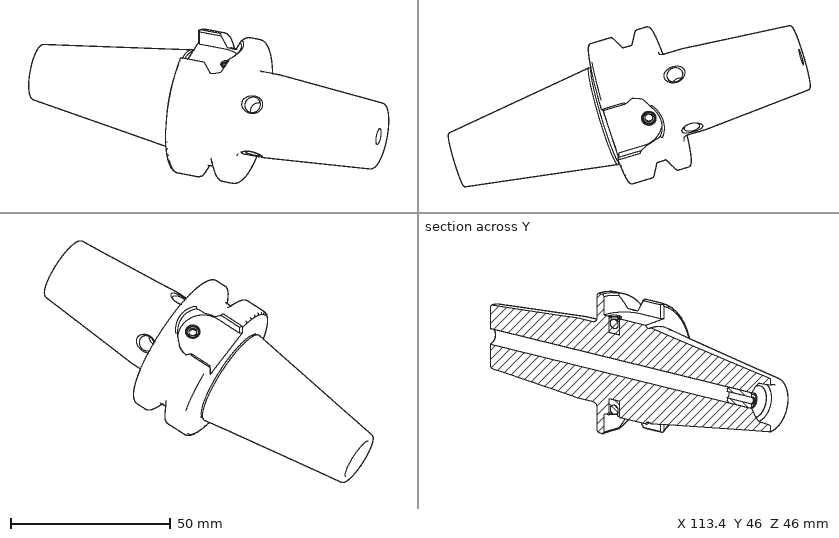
import cadquery as cq
import math


GAUGE_DIAMETER = 31.75
TAPER_RATIO = 7 / 24
SHANK_LENGTH = 48.4
SHANK_END_FILLET = 0.6
RELIEF_DIAMETER = 31.15
RELIEF_START = 0.7
RELIEF_FILLET = 0.6

FLANGE_DIAMETER = 46.0
FLANGE_START = 2.0
FLANGE_END = 22.0
FLANGE_FRONT_FILLET = 1.0
FLANGE_REAR_FILLET = 0.8
GROOVE_CENTER = 13.5
GROOVE_FLOOR_DIAMETER = 37.6
GROOVE_FLOOR_WIDTH = 3.2
GROOVE_HALF_ANGLE = 30.0
GROOVE_EDGE_FILLET = 0.6
GROOVE_FLOOR_FILLET = 0.5

NECK_DIAMETER = 26.5
NECK_FILLET = 1.5
NOSE_TAPER_START = 29.9
NOSE_LENGTH = 65.0
NOSE_DIAMETER = 21.0
NOSE_FILLET = 1.0

PILOT_MOUTH_DIAMETER = 13.1
PILOT_END_DIAMETER = 12.5
PILOT_MOUTH_FILLET = 0.5
PILOT_DEPTH = 4.9
INNER_BORE_DIAMETER = 10.3
INNER_BORE_DEPTH = 6.1
DRILL_POINT_ANGLE = 118.0
STOP_BORE_DIAMETER = 5.0
STOP_SCREW_LENGTH = 10.0
STOP_SCREW_CHAMFER = 0.5
STOP_HOLE_DIAMETER = 2.0
STOP_HOLE_MOUTH_DIAMETER = 2.5

KEYWAY_WIDTH = 16.1
KEYWAY_FLOOR = 16.3
KEYWAY_END = 18.95
KEYWAY_CHAMFER = 0.7
KEYWAY_ANGLES = [0, 180]

HOLDER_X = 14.95
HOLDER_DIAMETER = 4.0
HOLDER_LENGTH = 5.0
HOLDER_HOLE_CHAMFER = 0.3
HOLDER_CHAMFER = 0.25
HOLDER_OPENING_DIAMETER = 2.5
BALL_DIAMETER = 3.0
BALL_RECESS = 0.3

BALANCE_HOLE_COUNT = 4
BALANCE_FIRST_ANGLE = 45
BALANCE_HOLE_X = 26.3
BALANCE_HOLE_DIAMETER = 5.0
BALANCE_HOLE_MOUTH_DIAMETER = 6.8
BALANCE_HOLE_DEPTH = 8.0
COUNTERSINK_ANGLE = 120.0

TOLERANCE = 0.01


def revolve_about_x(outline):
    return outline.close().revolve(360, (0, 0, 0), (1, 0, 0))


def around_axis(shape, angles):
    """Copies of a +Z shape turned about the spindle axis."""
    return [shape.rotate((0, 0, 0), (1, 0, 0), angle) for angle in angles]


def fillet_circle(body, x, radius, size):
    """Fillet the circular edge of the given radius that lies in the plane at x."""

    def is_wanted(edge):
        box = edge.BoundingBox()
        in_plane = abs(box.xmin - x) < TOLERANCE and abs(box.xmax - x) < TOLERANCE
        return in_plane and abs(box.ymax - radius) < TOLERANCE

    circles = [edge for edge in body.edges().vals() if is_wanted(edge)]
    return body.newObject([body.val().fillet(size, circles)])


def body_blank():
    shank_end_radius = (GAUGE_DIAMETER - SHANK_LENGTH * TAPER_RATIO) / 2
    groove_depth = (FLANGE_DIAMETER - GROOVE_FLOOR_DIAMETER) / 2
    groove_floor_half = GROOVE_FLOOR_WIDTH / 2
    groove_mouth_half = groove_floor_half + groove_depth * math.tan(math.radians(GROOVE_HALF_ANGLE))
    outline = (
        cq.Workplane("XY")
        .moveTo(-SHANK_LENGTH, 0)
        .lineTo(-SHANK_LENGTH, shank_end_radius)
        .lineTo(0, GAUGE_DIAMETER / 2)
        .lineTo(RELIEF_START, RELIEF_DIAMETER / 2)
        .lineTo(FLANGE_START, RELIEF_DIAMETER / 2)
        .lineTo(FLANGE_START, FLANGE_DIAMETER / 2)
        .lineTo(GROOVE_CENTER - groove_mouth_half, FLANGE_DIAMETER / 2)
        .lineTo(GROOVE_CENTER - groove_floor_half, GROOVE_FLOOR_DIAMETER / 2)
        .lineTo(GROOVE_CENTER + groove_floor_half, GROOVE_FLOOR_DIAMETER / 2)
        .lineTo(GROOVE_CENTER + groove_mouth_half, FLANGE_DIAMETER / 2)
        .lineTo(FLANGE_END, FLANGE_DIAMETER / 2)
        .lineTo(FLANGE_END, NECK_DIAMETER / 2)
        .lineTo(NOSE_TAPER_START, NECK_DIAMETER / 2)
        .lineTo(NOSE_LENGTH, NOSE_DIAMETER / 2)
        .lineTo(NOSE_LENGTH, 0)
    )
    blank = revolve_about_x(outline)

    flange_radius = FLANGE_DIAMETER / 2
    blank = fillet_circle(blank, -SHANK_LENGTH, shank_end_radius, SHANK_END_FILLET)
    blank = fillet_circle(blank, FLANGE_START, RELIEF_DIAMETER / 2, RELIEF_FILLET)
    blank = fillet_circle(blank, FLANGE_START, flange_radius, FLANGE_REAR_FILLET)
    blank = fillet_circle(blank, GROOVE_CENTER - groove_mouth_half, flange_radius, GROOVE_EDGE_FILLET)
    blank = fillet_circle(blank, GROOVE_CENTER + groove_mouth_half, flange_radius, GROOVE_EDGE_FILLET)
    blank = fillet_circle(blank, FLANGE_END, flange_radius, FLANGE_FRONT_FILLET)
    blank = fillet_circle(blank, FLANGE_END, NECK_DIAMETER / 2, NECK_FILLET)
    for side in (-1, 1):
        floor_edge = GROOVE_CENTER + side * groove_floor_half
        blank = fillet_circle(blank, floor_edge, GROOVE_FLOOR_DIAMETER / 2, GROOVE_FLOOR_FILLET)
    return fillet_circle(blank, NOSE_LENGTH, NOSE_DIAMETER / 2, NOSE_FILLET)


INNER_BORE_END = -SHANK_LENGTH + INNER_BORE_DEPTH
DRILL_POINT_LENGTH = (INNER_BORE_DIAMETER - STOP_BORE_DIAMETER) / 2 / math.tan(
    math.radians(DRILL_POINT_ANGLE / 2)
)
STOP_SCREW_START = INNER_BORE_END + DRILL_POINT_LENGTH


def axial_bores():
    mouth_radius = PILOT_MOUTH_DIAMETER / 2
    pilot_end = -SHANK_LENGTH + PILOT_DEPTH
    step = (PILOT_END_DIAMETER - INNER_BORE_DIAMETER) / 2
    outline = (
        cq.Workplane("XY")
        .moveTo(-SHANK_LENGTH, 0)
        .lineTo(-SHANK_LENGTH, mouth_radius + PILOT_MOUTH_FILLET)
        .radiusArc((-SHANK_LENGTH + PILOT_MOUTH_FILLET, mouth_radius), -PILOT_MOUTH_FILLET)
        .lineTo(pilot_end, PILOT_END_DIAMETER / 2)
        .lineTo(pilot_end + step, INNER_BORE_DIAMETER / 2)
        .lineTo(INNER_BORE_END, INNER_BORE_DIAMETER / 2)
        .lineTo(STOP_SCREW_START, STOP_BORE_DIAMETER / 2)
        .lineTo(NOSE_LENGTH, STOP_BORE_DIAMETER / 2)
        .lineTo(NOSE_LENGTH, 0)
    )
    return revolve_about_x(outline)


def keyways():
    """Both keyways, open at the flange rear face, round at the front end and with chamfered rims."""
    half_width = KEYWAY_WIDTH / 2
    rim_radius = FLANGE_DIAMETER / 2
    slot = (
        cq.Workplane("XY", origin=(0, 0, KEYWAY_FLOOR))
        .moveTo(FLANGE_START, -half_width)
        .lineTo(KEYWAY_END - half_width, -half_width)
        .threePointArc((KEYWAY_END, 0), (KEYWAY_END - half_width, half_width))
        .lineTo(FLANGE_START, half_width)
        .close()
        .extrude(rim_radius - KEYWAY_FLOOR)
    )
    disc = (
        cq.Workplane("YZ", origin=(FLANGE_START, 0, 0))
        .circle(rim_radius)
        .extrude(FLANGE_END - FLANGE_START)
    )
    slotted = disc
    for turned in around_axis(slot, KEYWAY_ANGLES):
        slotted = slotted.cut(turned)

    def is_keyway_rim(edge):
        middle = edge.positionAt(0.5)
        within_slot = abs(middle.y) < half_width + TOLERANCE and FLANGE_START < middle.x < FLANGE_END
        on_disc = abs(math.hypot(middle.y, middle.z) - rim_radius) < TOLERANCE
        on_rear_face = edge.BoundingBox().xmax < FLANGE_START + TOLERANCE
        at_side = abs(abs(middle.y) - half_width) < TOLERANCE and not on_disc
        return (within_slot and on_disc) or (on_rear_face and at_side)

    rims = [edge for edge in slotted.edges().vals() if is_keyway_rim(edge)]
    chamfered = slotted.newObject([slotted.val().chamfer(KEYWAY_CHAMFER, None, rims)])
    return disc.cut(chamfered)


def holder_hole():
    """Blind hole in the +Z keyway floor, with a chamfered mouth."""
    radius = HOLDER_DIAMETER / 2
    floor = -HOLDER_HOLE_CHAMFER - HOLDER_LENGTH
    outline = (
        cq.Workplane("XZ", origin=(HOLDER_X, 0, KEYWAY_FLOOR))
        .lineTo(radius + HOLDER_HOLE_CHAMFER, 0)
        .lineTo(radius, -HOLDER_HOLE_CHAMFER)
        .lineTo(radius, floor)
        .lineTo(0, floor)
        .close()
    )
    return outline.revolve(360, (0, 0, 0), (0, 1, 0))


HOLDER_TOP = KEYWAY_FLOOR - HOLDER_HOLE_CHAMFER
BALL_CENTER = HOLDER_TOP - BALL_RECESS - BALL_DIAMETER / 2


def ball():
    """Ball that shows through the opening of its holder."""
    return cq.Workplane("XY", origin=(HOLDER_X, 0, BALL_CENTER)).sphere(BALL_DIAMETER / 2, direct=(0, 1, 0))


def ball_holder():
    """Round plug up to the hole chamfer, hollowed for the ball and open at its top."""
    plug = (
        cq.Workplane("XY", origin=(HOLDER_X, 0, HOLDER_TOP))
        .circle(HOLDER_DIAMETER / 2)
        .extrude(-HOLDER_LENGTH)
        .faces(">Z")
        .chamfer(HOLDER_CHAMFER)
    )
    opening = (
        cq.Workplane("XY", origin=(HOLDER_X, 0, BALL_CENTER))
        .circle(HOLDER_OPENING_DIAMETER / 2)
        .extrude(HOLDER_TOP - BALL_CENTER)
    )
    return plug.cut(opening).cut(ball())


def balance_hole():
    """Radial blind hole towards +Z, countersunk at the neck surface."""
    neck_radius = NECK_DIAMETER / 2
    radius = BALANCE_HOLE_DIAMETER / 2
    mouth_radius = BALANCE_HOLE_MOUTH_DIAMETER / 2
    depth = (mouth_radius - radius) / math.tan(math.radians(COUNTERSINK_ANGLE / 2))
    floor = neck_radius - BALANCE_HOLE_DEPTH
    outline = (
        cq.Workplane("XZ", origin=(BALANCE_HOLE_X, 0, 0))
        .moveTo(0, floor)
        .lineTo(radius, floor)
        .lineTo(radius, neck_radius - depth)
        .lineTo(mouth_radius, neck_radius)
        .lineTo(mouth_radius, neck_radius + NECK_FILLET)
        .lineTo(0, neck_radius + NECK_FILLET)
        .close()
    )
    return outline.revolve(360, (0, 0, 0), (0, 1, 0))


def stop_screw():
    """Screw with an axial through hole, at the rear end of the narrow bore."""
    screw = (
        cq.Workplane("YZ", origin=(STOP_SCREW_START, 0, 0))
        .circle(STOP_BORE_DIAMETER / 2)
        .extrude(STOP_SCREW_LENGTH)
        .edges()
        .chamfer(STOP_SCREW_CHAMFER)
    )
    mouth = (STOP_HOLE_MOUTH_DIAMETER - STOP_HOLE_DIAMETER) / 2
    return (
        screw.faces("<X")
        .workplane()
        .circle(STOP_HOLE_DIAMETER / 2)
        .cutThruAll()
        .faces("<X")
        .edges(cq.selectors.RadiusNthSelector(0))
        .chamfer(mouth)
    )


BALANCE_ANGLES = [BALANCE_FIRST_ANGLE + i * 360 / BALANCE_HOLE_COUNT for i in range(BALANCE_HOLE_COUNT)]

housing = body_blank().cut(axial_bores()).cut(keyways())
for cutter in around_axis(holder_hole(), KEYWAY_ANGLES):
    housing = housing.cut(cutter)
for cutter in around_axis(balance_hole(), BALANCE_ANGLES):
    housing = housing.cut(cutter)

holders = around_axis(ball_holder(), KEYWAY_ANGLES)
balls = around_axis(ball(), KEYWAY_ANGLES)

result = cq.Compound.makeCompound(
    [
        housing.val(),
        stop_screw().val(),
        *[holder.val() for holder in holders],
        *[each.val() for each in balls],
    ]
)